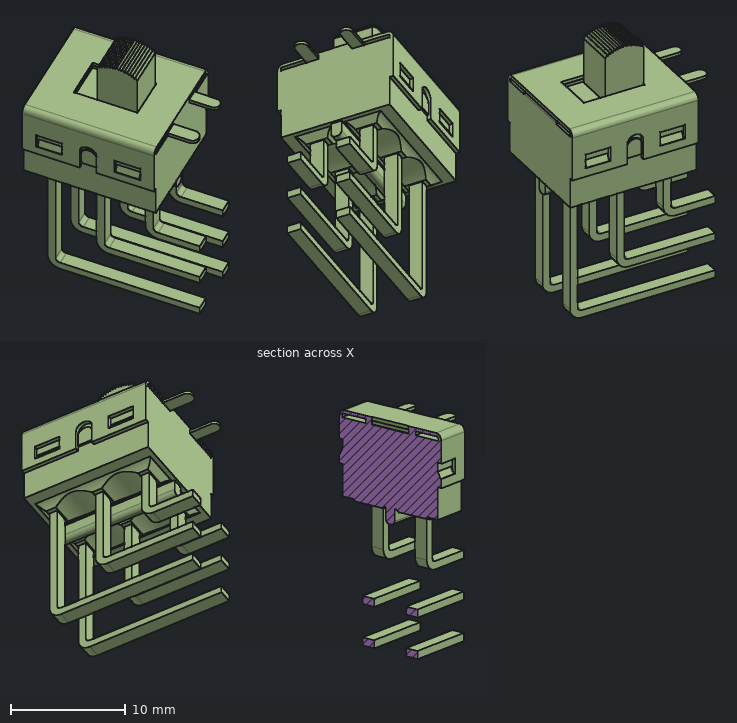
import cadquery as cq
import math


overall_length = 15.9
overall_height = 25.95

body_length = 12.7
frame_width = 11.42
frame_top = 8.0
frame_wall = 0.36
frame_outer_radius = 0.6
frame_inner_radius = 0.15
frame_bottom = 2.99
frame_underside = frame_top - frame_wall
housing_width = frame_width - 2 * frame_wall
housing_top = 7.3

side_window_length = 2.52
side_window_x = 3.76
side_window_bottom = 3.85
side_window_top = 5.25
wedge_length = 2.28
wedge_x = 3.75
wedge_height = 0.62
wedge_depth = 0.3

notch_width = 1.6
notch_top = 5.8
key_width = 1.45
key_bottom = 3.45
key_shoulder = 4.78
key_top = 5.25
key_depth = 0.18

opening_length = 6.13
opening_width = 4.0
plate_opening_gap = 0.05
slider_size = 3.85
slider_x = 1.06
slider_top = 12.7
crown_radius = 3.27
tooth_depth = 0.25
tooth_steep_run = 0.08
teeth_per_side = 7

prong_tip_x = 9.09
prong_spans = [(-2.85, -1.6), (1.65, 2.78)]
plate_end_radius = 0.29

terminal_thickness = 0.78
terminal_width = 1.32
terminal_outer_radius = 1.2
terminal_end_x = overall_length - body_length / 2
terminal_pitch_x = 4.7
terminal_row_spacing = 4.85
lowest_terminal = slider_top - overall_height
terminal_pitch_z = 3.82

seal_depth = 0.62
seal_saddle_depth = 0.13
seal_top_half_width = 1.8
seal_mid_half_width = 1.32
seal_bottom_half_width = 1.06
seal_foot_half_length = 0.5
seal_end_spread = 1.17

rib_length = 12.25
rib_width = 1.05
rib_depth = 1.5
rib_edge_radius = 0.45

SIDES = (-1, 1)


def block(x_span, y_span, z_span):
    """Axis-aligned block given by its limits."""
    size = [high - low for low, high in (x_span, y_span, z_span)]
    corner = (x_span[0], y_span[0], z_span[0])
    return cq.Workplane("XY").box(*size, centered=False).translate(corner)


def centered_block(length, width, z_span, x=0.0):
    """Block centred on Y = 0 and on the given X."""
    return block((x - length / 2, x + length / 2), (-width / 2, width / 2), z_span)


def make_frame():
    outer = centered_block(body_length, frame_width, (frame_bottom, frame_top))
    outer = outer.edges("|X and >Z").fillet(frame_outer_radius)
    inner = centered_block(body_length, housing_width, (frame_bottom, frame_underside))
    inner = inner.edges("|X and >Z").fillet(frame_inner_radius)
    frame = outer.cut(inner)

    window_z = (side_window_bottom, side_window_top)
    for side in SIDES:
        frame = frame.cut(
            centered_block(side_window_length, frame_width, window_z, side * side_window_x)
        )

    arch_center = notch_top - notch_width / 2
    notch = centered_block(notch_width, frame_width, (frame_bottom, arch_center))
    arch = (
        cq.Workplane("XZ")
        .center(0, arch_center)
        .circle(notch_width / 2)
        .extrude(frame_width / 2, both=True)
    )
    opening = centered_block(opening_length, opening_width, (frame_underside, frame_top))
    return frame.cut(notch).cut(arch).cut(opening)


def make_housing():
    housing = centered_block(body_length, housing_width, (0, housing_top))
    face_y = housing_width / 2

    wedge_profile = [
        (-face_y - wedge_depth, side_window_bottom),
        (face_y + wedge_depth, side_window_bottom),
        (face_y, side_window_bottom + wedge_height),
        (-face_y, side_window_bottom + wedge_height),
    ]
    wedge = cq.Workplane("YZ").polyline(wedge_profile).close().extrude(wedge_length / 2, both=True)
    for side in SIDES:
        housing = housing.union(wedge.translate((side * wedge_x, 0, 0)))

    key = (
        cq.Workplane("XZ")
        .moveTo(-key_width / 2, key_bottom)
        .lineTo(key_width / 2, key_bottom)
        .lineTo(key_width / 2, key_shoulder)
        .threePointArc((0, key_top), (-key_width / 2, key_shoulder))
        .close()
        .extrude(face_y + key_depth, both=True)
    )
    return housing.union(key)


def make_spring_plate():
    plate_y = (prong_spans[0][0], prong_spans[-1][1])
    z_span = (housing_top, frame_underside)
    plate = block((-body_length / 2, body_length / 2), plate_y, z_span)
    plate = plate.edges("|Y and <X and >Z").fillet(plate_end_radius)
    for low, high in prong_spans:
        tip_radius = (high - low) / 2
        tip_center_x = prong_tip_x - tip_radius
        tip = (
            cq.Workplane("XY", origin=(tip_center_x, (low + high) / 2, housing_top))
            .circle(tip_radius)
            .extrude(frame_underside - housing_top)
        )
        prong = block((opening_length / 2, tip_center_x), (low, high), z_span).union(tip)
        plate = plate.union(prong)
    plate_opening_length = opening_length + 2 * plate_opening_gap
    plate_opening_width = opening_width + 2 * plate_opening_gap
    opening = centered_block(plate_opening_length, plate_opening_width, z_span)
    return plate.cut(opening)


def make_slider():
    """Square post with a crowned top; each tooth is steep on the side facing the middle."""
    half = slider_size / 2
    tooth_pitch = (half + tooth_steep_run) / (teeth_per_side + 1)

    def crown_height(x):
        return slider_top - crown_radius + math.sqrt(crown_radius**2 - x**2)

    right_teeth = []
    for number in range(1, teeth_per_side + 2):
        tip_x = number * tooth_pitch
        root_x = tip_x - tooth_steep_run
        right_teeth.append((root_x, crown_height(root_x) - tooth_depth))
        if number <= teeth_per_side:
            right_teeth.append((tip_x, crown_height(tip_x)))
    left_teeth = [(-x, z) for x, z in reversed(right_teeth)]
    middle_tip = (0, slider_top)
    outline = [(half, housing_top), (-half, housing_top), *left_teeth, middle_tip, *right_teeth]
    post = cq.Workplane("XZ").polyline(outline).close().extrude(half, both=True)
    return post.translate((slider_x, 0, 0))


def make_terminal(column_x, bottom_z, y):
    """L-shaped terminal bent from vertical to the +X direction."""
    left = column_x - terminal_thickness / 2
    y_span = (y - terminal_width / 2, y + terminal_width / 2)
    outer = block((left, terminal_end_x), y_span, (bottom_z, 0))
    outer = outer.edges("|Y and <X and <Z").fillet(terminal_outer_radius)
    inside_left = left + terminal_thickness
    inside_bottom = bottom_z + terminal_thickness
    inside = block((inside_left, terminal_end_x), y_span, (inside_bottom, 0))
    inside = inside.edges("|Y and <X and <Z").fillet(terminal_outer_radius - terminal_thickness)
    return outer.cut(inside)


def make_seal(y):
    """Sealant along one terminal row: scalloped along X, tapered across Y."""
    end_x = terminal_pitch_x + seal_end_spread
    foot = seal_foot_half_length
    side_view = cq.Workplane("XZ").moveTo(-end_x, 0).lineTo(-terminal_pitch_x - foot, -seal_depth)
    for column in (-1, 0):
        x = column * terminal_pitch_x
        saddle = (x + terminal_pitch_x / 2, -seal_saddle_depth)
        next_foot = (x + terminal_pitch_x - foot, -seal_depth)
        side_view = side_view.lineTo(x + foot, -seal_depth).threePointArc(saddle, next_foot)
    side_view = side_view.lineTo(terminal_pitch_x + foot, -seal_depth).lineTo(end_x, 0).close()
    scallops = side_view.extrude(seal_top_half_width, both=True)

    top = seal_top_half_width
    bottom = seal_bottom_half_width
    waist = seal_mid_half_width
    taper = (
        cq.Workplane("YZ")
        .moveTo(-top, 0)
        .threePointArc((-waist, -seal_depth / 2), (-bottom, -seal_depth))
        .lineTo(bottom, -seal_depth)
        .threePointArc((waist, -seal_depth / 2), (top, 0))
        .close()
        .extrude(end_x, both=True)
    )
    return scallops.intersect(taper).translate((0, y, 0))


def make_rib():
    """Rib with rounded lower edges."""
    rib = centered_block(rib_length, rib_width, (-rib_depth, 0))
    return rib.edges("|X and <Z").fillet(rib_edge_radius)


result = make_housing().union(make_frame()).union(make_spring_plate())
result = result.union(make_slider()).union(make_rib())
for row in SIDES:
    row_y = row * terminal_row_spacing / 2
    result = result.union(make_seal(row_y))
    for column in range(3):
        column_x = (column - 1) * terminal_pitch_x
        bottom_z = lowest_terminal + column * terminal_pitch_z
        result = result.union(make_terminal(column_x, bottom_z, row_y))